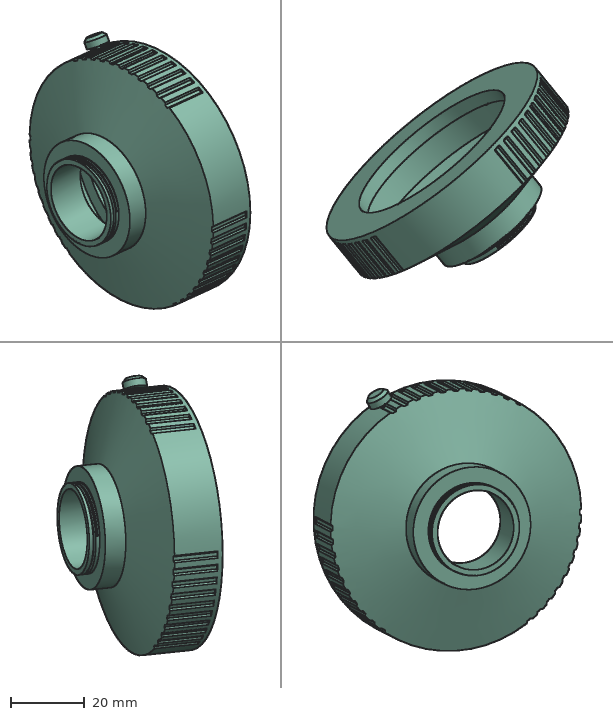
import cadquery as cq
import math


outer_radius = 36.2
collar_radius = 16.95
nose_radius = 12.6
rim_length = 14.0
flare_length = 7.0
collar_length = 5.95
nose_length = 3.05
flare_y = -rim_length
collar_y = flare_y - flare_length
nose_y = collar_y - collar_length
tip_y = nose_y - nose_length

cutter_overlap = 0.1

bore_diameter = 21.95
bore_radius = bore_diameter / 2
bore_length = 11.0
cavity_radius = 29.0
back_hole_radius = 25.0
lip_thickness = 3.9
bore_end_y = tip_y + bore_length
flare_slope = flare_length / (outer_radius - collar_radius)
cavity_cone_end_y = bore_end_y + flare_slope * (cavity_radius - bore_radius)

thread_pitch = 1.1
thread_depth = 0.5
groove_width = 0.9
groove_lead_in = 0.7
thread_turns = (nose_length - groove_lead_in - groove_width / 2) / thread_pitch

grip_depth = 0.5
grip_floor_width = 1.1
grip_mouth_width = 2.0
grip_margin = 1.45
grip_step = 6.0
grip_groups = ((60.0, 11), (180.0, 10), (306.0, 10))

screw_angle = 120.0
screw_y = -5.1
stem_radius = 0.7
head_radius = 3.25
head_height = 3.0
head_chamfer = 0.95
head_base = 37.1


def make_blank():
    """Turned housing: rim, flare, collar and nose outside, bore, cavity and back hole inside."""
    profile = [
        (back_hole_radius, 0),
        (outer_radius, 0),
        (outer_radius, flare_y),
        (collar_radius, collar_y),
        (collar_radius, nose_y),
        (nose_radius, nose_y),
        (nose_radius, tip_y),
        (bore_radius, tip_y),
        (bore_radius, bore_end_y),
        (cavity_radius, cavity_cone_end_y),
        (cavity_radius, -lip_thickness),
        (back_hole_radius, -lip_thickness),
    ]
    return cq.Workplane("XY").polyline(profile).close().revolve(360, (0, 0), (0, 1))


def make_thread_groove():
    """V groove from near the nose tip to the collar face, built along Z and then turned onto Y."""
    helix = cq.Wire.makeHelix(thread_pitch, thread_pitch * thread_turns, nose_radius)
    section = [
        (nose_radius - thread_depth, 0),
        (nose_radius + cutter_overlap, -groove_width / 2),
        (nose_radius + cutter_overlap, groove_width / 2),
    ]
    groove = cq.Workplane("XZ").polyline(section).close().sweep(cq.Workplane(helix), isFrenet=True)
    groove = groove.rotate((0, 0, 0), (1, 0, 0), -90)
    return groove.rotate((0, 0, 0), (0, 1, 0), 90).translate((0, tip_y + groove_lead_in, 0))


def make_grip_cutter():
    """One groove cutter on the +X side, leaving a plain margin at the back and running out on the flare."""
    floor_radius = outer_radius - grip_depth
    side_slope = (grip_mouth_width - grip_floor_width) / 2 / grip_depth
    half_floor = grip_floor_width / 2
    half_top = grip_mouth_width / 2 + side_slope * cutter_overlap
    top_radius = outer_radius + cutter_overlap
    section = [
        (floor_radius, -half_floor),
        (top_radius, -half_top),
        (top_radius, half_top),
        (floor_radius, half_floor),
    ]
    cutter = cq.Workplane("XZ", origin=(0, -grip_margin, 0)).polyline(section).close()
    return cutter.extrude(rim_length)


def cut_grip_grooves(body):
    """Repeat the groove around the rim; angles run from +X towards +Z."""
    cutter = make_grip_cutter()
    for first_angle, count in grip_groups:
        for index in range(count):
            angle = first_angle + index * grip_step
            body = body.cut(cutter.rotate((0, 0, 0), (0, 1, 0), -angle))
    return body


def radial_plane(distance):
    """Workplane across the screw axis at the given distance from the housing axis."""
    angle = math.radians(screw_angle)
    outward = cq.Vector(math.cos(angle), 0, math.sin(angle))
    origin = outward * distance + cq.Vector(0, screw_y, 0)
    return cq.Workplane(cq.Plane(origin=origin, xDir=(0, 1, 0), normal=outward))


def make_stem():
    """Screw stem from the cavity wall out to the head; its shape also cuts the matching hole."""
    return radial_plane(cavity_radius).circle(stem_radius).extrude(head_base - cavity_radius)


def make_screw():
    """Screw with a plain stem and a chamfered round head."""
    head = radial_plane(head_base).circle(head_radius).extrude(head_height)
    outer_face = cq.selectors.DirectionMinMaxSelector(radial_plane(head_base).plane.zDir)
    head = head.faces(outer_face).chamfer(head_chamfer)
    return head.union(make_stem())


def make_housing():
    """Finished housing with thread, grip grooves and screw hole."""
    body = make_blank().cut(make_thread_groove())
    body = cut_grip_grooves(body)
    return body.cut(make_stem())


housing = make_housing()
screw = make_screw()
result = cq.Compound.makeCompound([housing.solids().val(), screw.solids().val()])